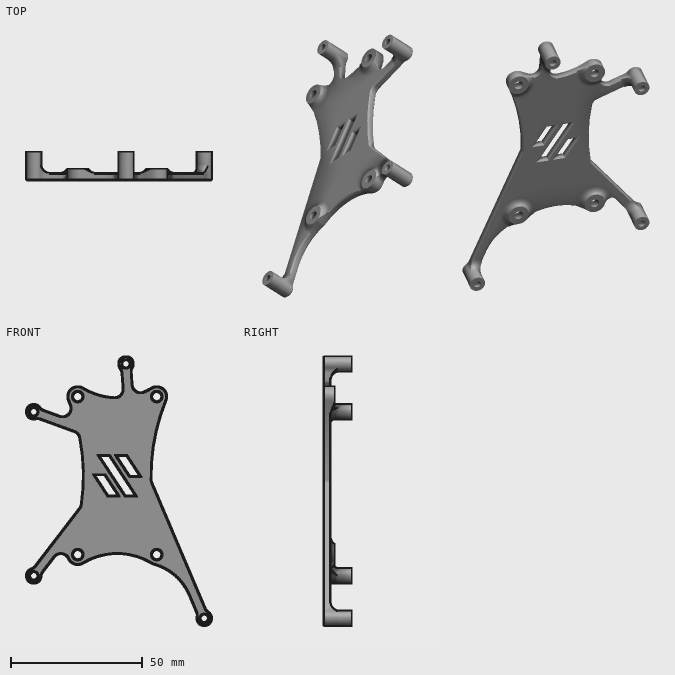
import cadquery as cq
import math


PLATE_THICKNESS = 3.0
BOSS_HEIGHT = 4.5
POST_HEIGHT = 11.0

MOUNT_PITCH_X = 30.0
MOUNT_PITCH_Z = 60.0
BOSS_RADIUS = 4.0
MOUNT_HOLE = 3.4
MOUNT_COUNTERSINK = 4.5
END_WAIST = 29.8
SIDE_WAIST = 13.1

POST_RADIUS = 3.0
POST_HOLE = 2.7
POST_COUNTERSINK = 3.7
POST_LEFT_X = -31.7
POST_UPPER_Z = 24.25
POST_LOWER_Z = -38.05
POST_TOP = (3.3, 42.42)
POST_FOOT = (33.04, -54.17)

ARM_WIDTH = 4.0
ARM_UPPER_ANGLE = -20.1
ARM_UPPER_LENGTH = 20.0
ARM_LOWER_ANGLE = 52.5
ARM_LOWER_LENGTH = 32.0
ARM_TOP_ANGLE = -85.7
ARM_TOP_LENGTH = 16.0
ARM_FOOT_ANGLE = 113.0
ARM_FOOT_LENGTH = 56.5
FOOT_WEB_RADIUS = 20.0

CORNER_FILLET = 3.0
POST_ROOT_FILLET = 3.0
BOSS_ROOT_FILLET = 3.0
EDGE_CHAMFER = 0.5

WINDOW_WIDTH = 3.55
WINDOW_HALF_HEIGHT = 7.45
WINDOW_SLANT = 0.655
WINDOW_SPACING = 6.55
SHORT_WINDOW_HEIGHT = 7.55

HALF_X = MOUNT_PITCH_X / 2
HALF_Z = MOUNT_PITCH_Z / 2
BOSSES = [(sx * HALF_X, sz * HALF_Z) for sx in (-1, 1) for sz in (-1, 1)]
POST_UPPER = (POST_LEFT_X, POST_UPPER_Z)
POST_LOWER = (POST_LEFT_X, POST_LOWER_Z)
POSTS = [POST_UPPER, POST_LOWER, POST_TOP, POST_FOOT]


def plane_at(y):
    """Sketch plane at height y with local axes X and Z; extrude with a negative length for +Y."""
    return cq.Workplane("XZ", origin=(0, y, 0))


def discs(points, radius, bottom, top):
    """Round pins along Y, one at each (X, Z) point."""
    return plane_at(bottom).pushPoints(points).circle(radius).extrude(bottom - top)


def along(point, angle, distance, side=0.0):
    """Move from a point along a direction, and sideways to its left."""
    c = math.cos(math.radians(angle))
    s = math.sin(math.radians(angle))
    return (point[0] + distance * c - side * s, point[1] + distance * s + side * c)


def toward(start, end, distance):
    """Point at a distance from `start` on the way to `end`."""
    length = math.dist(start, end)
    return tuple(a + (b - a) * distance / length for a, b in zip(start, end))


def waist_radius(waist, near, far):
    """Radius of an arc through `waist` on an axis, tangent to bosses `near` along it and `far` off it."""
    drop = near - waist
    return (far**2 + drop**2 - BOSS_RADIUS**2) / (2 * (BOSS_RADIUS + drop))


SIDE_RADIUS = waist_radius(SIDE_WAIST, HALF_X, HALF_Z)
END_RADIUS = waist_radius(END_WAIST, HALF_Z, HALF_X)
SIDE_TANGENT = toward((HALF_X, HALF_Z), (SIDE_WAIST + SIDE_RADIUS, 0), BOSS_RADIUS)
END_TANGENT = toward((HALF_X, HALF_Z), (0, END_WAIST + END_RADIUS), BOSS_RADIUS)
BOSS_CORNER = (HALF_X + BOSS_RADIUS * math.sqrt(0.5), HALF_Z + BOSS_RADIUS * math.sqrt(0.5))


def flip(point, sx, sz):
    """Mirror a point by the signs of its two coordinates."""
    return (sx * point[0], sz * point[1])


def body():
    """Waisted plate: concave arcs tangent to the four boss circles."""
    return (
        plane_at(0)
        .moveTo(*END_TANGENT)
        .threePointArc(BOSS_CORNER, SIDE_TANGENT)
        .threePointArc((SIDE_WAIST, 0), flip(SIDE_TANGENT, 1, -1))
        .threePointArc(flip(BOSS_CORNER, 1, -1), flip(END_TANGENT, 1, -1))
        .threePointArc((0, -END_WAIST), flip(END_TANGENT, -1, -1))
        .threePointArc(flip(BOSS_CORNER, -1, -1), flip(SIDE_TANGENT, -1, -1))
        .threePointArc((-SIDE_WAIST, 0), flip(SIDE_TANGENT, -1, 1))
        .threePointArc(flip(BOSS_CORNER, -1, 1), flip(END_TANGENT, -1, 1))
        .threePointArc((0, END_WAIST), END_TANGENT)
        .close()
        .extrude(-PLATE_THICKNESS)
    )


def arm(post, angle, length):
    """Straight arm of constant width from a post into the body."""
    half = ARM_WIDTH / 2
    ends = ((0, -half), (length, -half), (length, half), (0, half))
    corners = [along(post, angle, distance, side) for distance, side in ends]
    return plane_at(0).polyline(corners).close().extrude(-PLATE_THICKNESS)


def foot_arm():
    """Arm to the foot post, widening into the body; a large arc joins it to the lower right boss."""
    boss = (HALF_X, -HALF_Z)
    half = ARM_WIDTH / 2
    r = FOOT_WEB_RADIUS
    c = math.cos(math.radians(ARM_FOOT_ANGLE))
    s = math.sin(math.radians(ARM_FOOT_ANGLE))
    dx = boss[0] - POST_FOOT[0]
    dz = boss[1] - POST_FOOT[1]
    boss_along = dx * c + dz * s
    boss_side = -dx * s + dz * c
    reach = boss_along - math.sqrt((r + BOSS_RADIUS) ** 2 - (half + r - boss_side) ** 2)
    center = along(POST_FOOT, ARM_FOOT_ANGLE, reach, half + r)
    line_end = along(POST_FOOT, ARM_FOOT_ANGLE, reach, half)
    arc_end = toward(boss, center, BOSS_RADIUS)
    middle = ((line_end[0] + arc_end[0]) / 2, (line_end[1] + arc_end[1]) / 2)
    arc_middle = toward(center, middle, r)
    return (
        plane_at(0)
        .moveTo(*along(POST_FOOT, ARM_FOOT_ANGLE, 0, half))
        .lineTo(*line_end)
        .threePointArc(arc_middle, arc_end)
        .lineTo(*boss)
        .lineTo(*along(POST_FOOT, ARM_FOOT_ANGLE, ARM_FOOT_LENGTH, half))
        .lineTo(*along(POST_FOOT, ARM_FOOT_ANGLE, ARM_FOOT_LENGTH, -half))
        .lineTo(*along(POST_FOOT, ARM_FOOT_ANGLE, 0, -half))
        .close()
        .extrude(-PLATE_THICKNESS)
    )


def outline():
    """Closed outline on Y = 0; growing then shrinking it rounds every inside corner."""
    flat = body().union(foot_arm())
    flat = flat.union(arm(POST_UPPER, ARM_UPPER_ANGLE, ARM_UPPER_LENGTH))
    flat = flat.union(arm(POST_LOWER, ARM_LOWER_ANGLE, ARM_LOWER_LENGTH))
    flat = flat.union(arm(POST_TOP, ARM_TOP_ANGLE, ARM_TOP_LENGTH))
    flat = flat.union(discs(POSTS, POST_RADIUS, 0, PLATE_THICKNESS))
    grown = flat.faces("<Y").val().outerWire().offset2D(CORNER_FILLET, "arc")[0]
    return grown.offset2D(-CORNER_FILLET, "arc")[0]


def prism(wire, height):
    """Solid of a given height above Y = 0 with the outline `wire`."""
    return cq.Workplane(cq.Solid.extrudeLinear(wire, [], cq.Vector(0, height, 0)))


def root_mound(point, radius, height, fillet):
    """Round mound whose concave flank runs from (radius, height) down tangent to the plate."""
    rise = height - PLATE_THICKNESS
    sweep = math.acos((fillet - rise) / fillet)
    foot = radius + fillet * math.sin(sweep)
    flank_middle = (
        foot - fillet * math.sin(sweep / 2),
        PLATE_THICKNESS + fillet * (1 - math.cos(sweep / 2)),
    )
    base = PLATE_THICKNESS / 2
    return (
        cq.Workplane("XY", origin=(point[0], 0, point[1]))
        .moveTo(0, base)
        .lineTo(foot, base)
        .lineTo(foot, PLATE_THICKNESS)
        .threePointArc(flank_middle, (radius, height))
        .lineTo(0, height)
        .close()
        .revolve(360, (0, 0, 0), (0, 1, 0))
    )


def hole_cutter(points, diameter, sink_diameter):
    """Through holes, each countersunk at 45 degrees in the flat face."""
    cutter = discs(points, diameter / 2, 0, POST_HEIGHT)
    depth = (sink_diameter - diameter) / 2
    for x, z in points:
        center = cq.Vector(x, 0, z)
        cone = cq.Solid.makeCone(sink_diameter / 2, diameter / 2, depth, center, cq.Vector(0, 1, 0))
        cutter = cutter.union(cq.Workplane(cone))
    return cutter


def window(center_x, top, bottom):
    """Cutter for a slanted window; `center_x` is where its slanted axis crosses Z = 0."""
    half = WINDOW_WIDTH / 2
    upper = center_x - WINDOW_SLANT * top
    lower = center_x - WINDOW_SLANT * bottom
    corners = [(upper - half, top), (upper + half, top), (lower + half, bottom), (lower - half, bottom)]
    return plane_at(0).polyline(corners).close().extrude(-PLATE_THICKNESS)


def windowed(plate):
    """Plate with its three slanted windows cut through."""
    top = WINDOW_HALF_HEIGHT
    short = SHORT_WINDOW_HEIGHT
    plate = plate.cut(window(0, top, -top))
    plate = plate.cut(window(WINDOW_SPACING, top, top - short))
    return plate.cut(window(-WINDOW_SPACING, short - top, -top))


rim = outline()
envelope = prism(rim, POST_HEIGHT)
result = windowed(prism(rim, PLATE_THICKNESS)).faces("<Y or >Y").edges().chamfer(EDGE_CHAMFER)
for post in POSTS:
    mound = root_mound(post, POST_RADIUS, PLATE_THICKNESS + POST_ROOT_FILLET, POST_ROOT_FILLET)
    result = result.union(mound.intersect(envelope))
for boss in BOSSES:
    mound = root_mound(boss, BOSS_RADIUS, BOSS_HEIGHT, BOSS_ROOT_FILLET)
    result = result.union(mound.intersect(envelope))
result = result.union(discs(POSTS, POST_RADIUS, PLATE_THICKNESS / 2, POST_HEIGHT))
result = result.cut(hole_cutter(POSTS, POST_HOLE, POST_COUNTERSINK))
result = result.cut(hole_cutter(BOSSES, MOUNT_HOLE, MOUNT_COUNTERSINK))